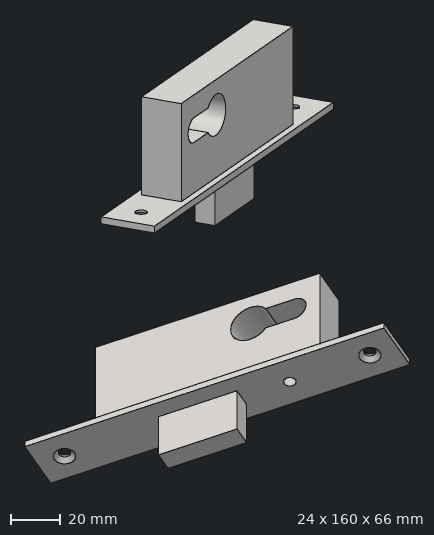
import cadquery as cq

plate_length = 160.0
plate_width = 24.0
plate_thickness = 3.0
screw_hole_diameter = 5.0
screw_hole_spacing = 136.0
countersink_diameter = 9.0
countersink_depth = (countersink_diameter - screw_hole_diameter) / 2

case_length = 100.0
case_width = 18.0
case_height = 42.0

bolt_length = 35.0
bolt_width = 9.0
bolt_height = 21.0
bolt_offset = 6.5

barrel_diameter = 17.5
barrel_y = -19.0
slot_width = 10.5
slot_end_y = -43.8
opening_below_top = 15.0
opening_z = plate_thickness + case_height - opening_below_top

fixing_hole_y = -32.3


def block(width, length, height, y, z):
    """Box centred on X, with its base at height z."""
    return cq.Workplane("XY").box(width, length, height, centered=(True, True, False)).translate((0, y, z))


def cross_cylinder(diameter, y):
    """Cylinder along X at the opening height, as long as the case is wide."""
    return cq.Workplane("YZ").center(y, opening_z).circle(diameter / 2).extrude(case_width / 2, both=True)


def cylinder_opening():
    slot_center_y = slot_end_y + slot_width / 2
    straight_length = barrel_y - slot_center_y
    straight_part = block(
        case_width,
        straight_length,
        slot_width,
        (barrel_y + slot_center_y) / 2,
        opening_z - slot_width / 2,
    )
    rounded_end = cross_cylinder(slot_width, slot_center_y)
    return cross_cylinder(barrel_diameter, barrel_y).union(straight_part).union(rounded_end)


def vertical_hole(y, height):
    """Screw-sized cylinder rising from the plate underside."""
    return cq.Workplane("XY").center(0, y).circle(screw_hole_diameter / 2).extrude(height)


def countersink(y):
    """Cone opening toward the plate underside, narrowing to the screw hole."""
    cone = cq.Solid.makeCone(countersink_diameter / 2, screw_hole_diameter / 2, countersink_depth)
    return cq.Workplane(cone.translate(cq.Vector(0, y, 0)))


plate = block(plate_width, plate_length, plate_thickness, 0, 0)
case = block(case_width, case_length, case_height, 0, plate_thickness)
bolt = block(bolt_width, bolt_length, bolt_height, bolt_offset, -bolt_height)

result = plate.union(case).union(bolt).cut(cylinder_opening())
for end in (-1, 1):
    screw_y = end * screw_hole_spacing / 2
    result = result.cut(vertical_hole(screw_y, plate_thickness)).cut(countersink(screw_y))
result = result.cut(vertical_hole(fixing_hole_y, opening_z))